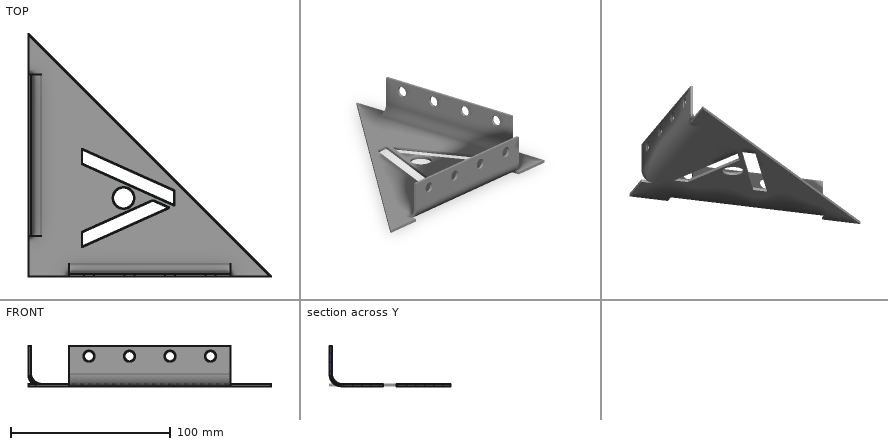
import cadquery as cq
import math

leg = 152.5
height = 25.5
thickness = 1.7

flange_length = 101.7
flange_start = (leg - flange_length) / 2
bend_radius = 8.0
inner_radius = bend_radius - thickness

hole_count = 4
hole_pitch = flange_length / hole_count
hole_diameter = 6.5
hole_height = 19.0

v_axis_y = 49.4
v_open_x = 33.7
v_end_x = 91.5
v_half_spread = 30.6
slot_width_y = 9.1
slot_slope = math.tan(math.radians(24.2))
web_y = 3.0
center_hole_x = 59.8
center_hole_diameter = 13.3


def make_plate():
    plate = cq.Workplane("XY").polyline([(0, 0), (leg, 0), (0, leg)]).close().extrude(thickness)
    clearance = cq.Workplane("XY").box(flange_length, bend_radius, thickness, centered=False)
    clearance = clearance.translate((flange_start, 0, 0))
    return plate.cut(clearance).cut(swap_xy(clearance))


def swap_xy(shape):
    """Mirror a shape across the plane X = Y."""
    return shape.mirror("YZ").rotate((0, 0, 0), (0, 0, 1), -90)


def make_flange():
    """Bent flange along the X leg, with its row of holes."""
    diagonal = math.sqrt(0.5)
    outer_mid = bend_radius * (1 - diagonal)
    inner_mid = bend_radius - inner_radius * diagonal
    flange = (
        cq.Workplane("YZ", origin=(flange_start, 0, 0))
        .moveTo(bend_radius, 0)
        .threePointArc((outer_mid, outer_mid), (0, bend_radius))
        .lineTo(0, height)
        .lineTo(thickness, height)
        .lineTo(thickness, bend_radius)
        .threePointArc((inner_mid, inner_mid), (bend_radius, thickness))
        .close()
        .extrude(flange_length)
    )
    for index in range(hole_count):
        hole_x = flange_start + (index + 0.5) * hole_pitch
        hole = (
            cq.Workplane("XZ", origin=(hole_x, 0, hole_height))
            .circle(hole_diameter / 2)
            .extrude(-thickness)
        )
        flange = flange.cut(hole)
    return flange


def make_plate_openings():
    slot_run = v_end_x - v_open_x
    slot_drop = slot_run * slot_slope
    top_y = v_axis_y + v_half_spread
    bottom_y = v_axis_y - v_half_spread
    upper_slot = [
        (v_open_x, top_y),
        (v_end_x, top_y - slot_drop),
        (v_end_x, top_y - slot_drop - slot_width_y),
        (v_open_x, top_y - slot_width_y),
    ]

    end_line_y = top_y - slot_width_y - web_y
    outer_run = (end_line_y - bottom_y) / (2 * slot_slope)
    inner_run = (end_line_y - bottom_y - slot_width_y) / (2 * slot_slope)
    lower_slot = [
        (v_open_x, bottom_y),
        (v_open_x + outer_run, end_line_y - outer_run * slot_slope),
        (v_open_x + inner_run, end_line_y - inner_run * slot_slope),
        (v_open_x, bottom_y + slot_width_y),
    ]

    openings = (
        cq.Workplane("XY")
        .center(center_hole_x, v_axis_y)
        .circle(center_hole_diameter / 2)
        .extrude(thickness)
    )
    for outline in (upper_slot, lower_slot):
        openings = openings.union(cq.Workplane("XY").polyline(outline).close().extrude(thickness))
    return openings


flange = make_flange()
result = make_plate().union(flange).union(swap_xy(flange)).cut(make_plate_openings())